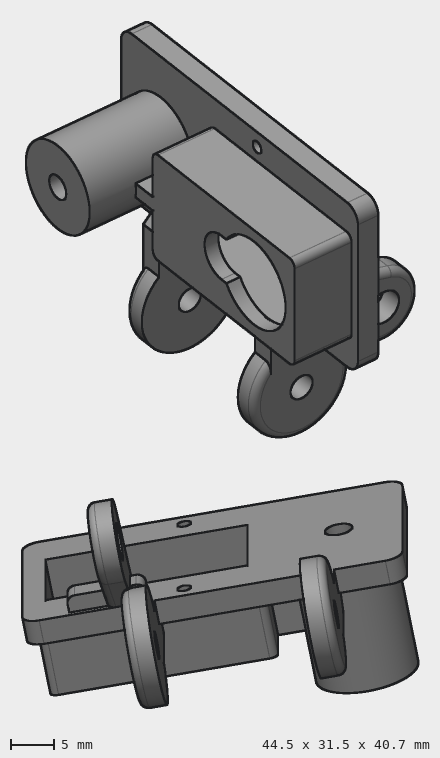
import cadquery as cq
import math

plate_length = 44.5
plate_height = 23.75
plate_thick = 3.0
plate_corner = 2.0
edge_round = 1.0
overcut = 0.45

barrel_x = -14.77
barrel_dia = 12.0
barrel_length = 15.0
bore_dia = 3.2

box_left = -5.6
box_right = 21.05
box_height = 15.25
box_depth = 8.28
box_wall = 1.5
box_front_wall = 2.0
web_height = 2.0

keyhole_x = 13.35
keyhole_dia = 12.0
keyhole_end_x = 7.3
keyhole_end_dia = 6.3

screw_x = 3.3
screw_z = 9.7
screw_dia = 1.6

lug_thick = 3.0
left_lug_x = -14.25
right_lug_x = 6.75
lug_reach = 3.0
disc_dia = 13.97
disc_z = plate_height / 2 - 40.67 + disc_dia / 2

arm_x = 9.25
arm_thick = 3.0
arm_top_z = -6.1
eye_radius = 5.0
eye_y = 31.5 - barrel_length - eye_radius
eye_z = -13.45
eye_hole_dia = 4.4

bar_left = 7.55
bar_right = 16.75
bar_top = -8.1
bar_height = 3.0
bar_depth = 2.0


def block(x0, x1, y0, y1, z0, z1):
    return cq.Workplane("XY").box(x1 - x0, y1 - y0, z1 - z0, centered=False).translate((x0, y0, z0))


def cylinder_y(x, z, diameter, y0, y1):
    """Cylinder along Y from y0 to y1."""
    circle = cq.Workplane("XZ", origin=(0, y0, 0)).center(x, z).circle(diameter / 2)
    return circle.extrude(y0 - y1)


def side_plane(x):
    """Plane facing +X whose local axes are Y and Z."""
    return cq.Workplane("YZ", origin=(x, 0, 0))


def tangent_point(y, z, side):
    """Point where a line from (y, z) touches the eye; side is +1 above, -1 below."""
    distance = math.hypot(y - eye_y, z - eye_z)
    toward = math.atan2(z - eye_z, y - eye_y)
    angle = toward - side * math.acos(eye_radius / distance)
    return eye_y + eye_radius * math.cos(angle), eye_z + eye_radius * math.sin(angle)


def make_plate():
    half_length, half_height = plate_length / 2, plate_height / 2
    plate = block(-half_length, half_length, 0, plate_thick, -half_height, half_height)
    return plate.edges("|Y").fillet(plate_corner)


def make_box():
    box = block(box_left, box_right, -box_depth, 0, -box_height / 2, box_height / 2)
    return box.edges("|Y").fillet(edge_round)


def make_cavity():
    """Pocket open through the back of the plate."""
    half_height = box_height / 2 - box_wall
    return block(box_left + box_wall, box_right - box_wall, box_front_wall - box_depth, plate_thick,
                 -half_height, half_height)


def make_keyhole():
    y0, y1 = -box_depth - overcut, 0
    half_end = keyhole_end_dia / 2
    keyhole = cylinder_y(keyhole_x, 0, keyhole_dia, y0, y1)
    keyhole = keyhole.union(cylinder_y(keyhole_end_x, 0, keyhole_end_dia, y0, y1))
    return keyhole.union(block(keyhole_end_x, keyhole_x, y0, y1, -half_end, half_end))


def make_lug(x, rounded_face, sloped_top):
    """Lug with its disc rounded on the face picked by rounded_face."""
    disc_y = plate_thick / 2
    disc = side_plane(x).center(disc_y, disc_z).circle(disc_dia / 2).extrude(lug_thick)
    disc = disc.faces(rounded_face).edges().fillet(edge_round)
    root_z = -box_height / 2
    shoulder_z = root_z - lug_reach if sloped_top else root_z
    strap = (
        side_plane(x)
        .moveTo(plate_thick, disc_z)
        .lineTo(-lug_reach, disc_z)
        .lineTo(-lug_reach, shoulder_z)
        .lineTo(0, root_z)
        .lineTo(0, -plate_height / 2)
        .lineTo(plate_thick, -plate_height / 2)
        .close()
        .extrude(lug_thick)
    )
    hole = side_plane(x).center(disc_y, disc_z).circle(bore_dia / 2).extrude(lug_thick)
    return disc.union(strap).cut(hole)


def make_arm():
    top = (plate_thick, arm_top_z)
    bottom = (plate_thick, -plate_height / 2)
    arm = (
        side_plane(arm_x)
        .moveTo(*top)
        .lineTo(*tangent_point(*top, 1))
        .threePointArc(eye_tip(), tangent_point(*bottom, -1))
        .lineTo(*bottom)
        .close()
        .extrude(arm_thick)
    )
    arm = arm.faces(">X").edges("not(|Z)").fillet(edge_round)
    hole = side_plane(arm_x).center(eye_y, eye_z).circle(eye_hole_dia / 2).extrude(arm_thick)
    return arm.cut(hole)


def eye_tip():
    return eye_y + eye_radius, eye_z


def make_bar():
    bar = block(bar_left, bar_right, plate_thick, plate_thick + bar_depth, bar_top - bar_height, bar_top)
    return bar.edges("|Z and >Y").fillet(edge_round)


result = make_plate().union(make_box())
result = result.union(cylinder_y(barrel_x, 0, barrel_dia, -barrel_length, 0))
result = result.union(block(barrel_x, box_left, -box_depth, 0, -web_height / 2, web_height / 2))
result = result.cut(make_cavity()).cut(make_keyhole())
result = result.cut(cylinder_y(barrel_x, 0, bore_dia, -barrel_length, plate_thick))
for z in (-screw_z, screw_z):
    result = result.cut(cylinder_y(screw_x, z, screw_dia, 0, plate_thick))
result = result.union(make_lug(left_lug_x, "<X", True))
result = result.union(make_lug(right_lug_x, ">X", False))
result = result.union(make_arm()).union(make_bar())